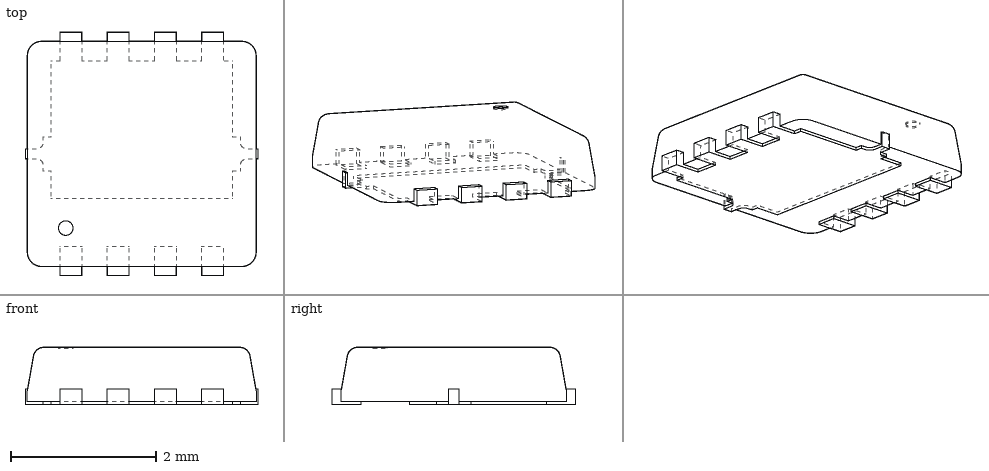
import cadquery as cq

BODY_LENGTH_X = 3.15
BODY_LENGTH_Y = 3.10
BODY_BOTTOM = 0.04
BODY_TOP = 0.79
PARTING_HEIGHT = 0.19
DRAFT_ANGLE = 10.0
CORNER_RADIUS = 0.20
TOP_FILLET_RADIUS = 0.15

MARK_DIAMETER = 0.20
MARK_DEPTH = 0.02
MARK_X = -1.045
MARK_Y = -1.02

FRAME_THICKNESS = 0.216
LEAD_SPAN_Y = 3.35
LEAD_COUNT = 4
LEAD_PITCH = 0.65
LEAD_WIDTH = 0.30
LEAD_LENGTH = 0.40

PAD_WIDTH_X = 2.50
PAD_FRONT_Y = -0.61
PAD_BACK_Y = LEAD_SPAN_Y / 2 - LEAD_LENGTH

TIE_BAR_SPAN_X = 3.20
TIE_BAR_WIDTH = 0.14
TIE_BAR_FILLET_RADIUS = 0.09
SHOULDER_SPAN_X = 2.71
SHOULDER_WIDTH = 0.47


def plate(x_min, x_max, y_min, y_max):
    """Rectangular piece of the lead frame standing on the seating plane."""
    return (
        cq.Workplane("XY")
        .box(x_max - x_min, y_max - y_min, FRAME_THICKNESS, centered=False)
        .translate((x_min, y_min, 0))
    )


def make_body():
    """Body with an upright base, drafted walls and a rounded top edge."""
    base = (
        cq.Workplane("XY", origin=(0, 0, BODY_BOTTOM))
        .rect(BODY_LENGTH_X, BODY_LENGTH_Y)
        .extrude(PARTING_HEIGHT - BODY_BOTTOM)
        .edges("|Z")
        .fillet(CORNER_RADIUS)
    )
    outline = cq.Sketch().rect(BODY_LENGTH_X, BODY_LENGTH_Y).vertices().fillet(CORNER_RADIUS)
    cover = (
        cq.Workplane("XY", origin=(0, 0, PARTING_HEIGHT))
        .placeSketch(outline)
        .extrude(BODY_TOP - PARTING_HEIGHT, taper=DRAFT_ANGLE)
        .faces(">Z")
        .edges()
        .fillet(TOP_FILLET_RADIUS)
    )
    return base.union(cover)


def make_leads():
    """Front and rear rows of rectangular leads."""
    leads = cq.Workplane("XY")
    for index in range(LEAD_COUNT):
        x_centre = (index - (LEAD_COUNT - 1) / 2) * LEAD_PITCH
        x_min = x_centre - LEAD_WIDTH / 2
        x_max = x_centre + LEAD_WIDTH / 2
        leads = leads.union(plate(x_min, x_max, -LEAD_SPAN_Y / 2, LEAD_LENGTH - LEAD_SPAN_Y / 2))
        leads = leads.union(plate(x_min, x_max, PAD_BACK_Y, LEAD_SPAN_Y / 2))
    return leads


def make_tie_bars():
    """Tie bar across both sides, flaring through fillets into stepped shoulders."""
    bar = plate(-TIE_BAR_SPAN_X / 2, TIE_BAR_SPAN_X / 2, -TIE_BAR_WIDTH / 2, TIE_BAR_WIDTH / 2)
    shoulder = plate(-SHOULDER_SPAN_X / 2, SHOULDER_SPAN_X / 2, -SHOULDER_WIDTH / 2, SHOULDER_WIDTH / 2)
    root_tolerance = 0.01
    root_box = cq.selectors.BoxSelector(
        (-SHOULDER_SPAN_X / 2 - root_tolerance, -TIE_BAR_WIDTH / 2 - root_tolerance, 0),
        (SHOULDER_SPAN_X / 2 + root_tolerance, TIE_BAR_WIDTH / 2 + root_tolerance, FRAME_THICKNESS),
    )
    return bar.union(shoulder).edges("|Z").edges(root_box).fillet(TIE_BAR_FILLET_RADIUS)


def make_pin_mark():
    """Shallow round cutter for the pin 1 mark in the top face."""
    return (
        cq.Workplane("XY", origin=(MARK_X, MARK_Y, BODY_TOP - MARK_DEPTH))
        .circle(MARK_DIAMETER / 2)
        .extrude(MARK_DEPTH)
    )


pad = plate(-PAD_WIDTH_X / 2, PAD_WIDTH_X / 2, PAD_FRONT_Y, PAD_BACK_Y)
lead_frame = pad.union(make_tie_bars())
result = make_body().cut(make_pin_mark()).union(lead_frame).union(make_leads())